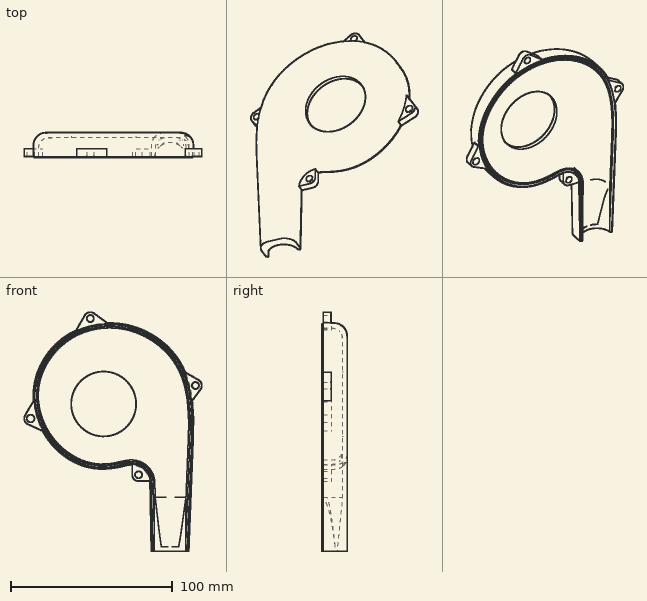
import cadquery as cq
import math


RIDGE_HEIGHT = 0.8
DEPTH = 15.8
FLOOR_THICKNESS = 3.0
FLOOR_Y = DEPTH - FLOOR_THICKNESS
OUTER_FILLET = 8.0
CAVITY_FILLET = 6.5
WALL = 3.1
BORE_DIAMETER = 40.0

RIDGE_BASE_OUTER = 0.5
RIDGE_TIP_OUTER = 0.8
RIDGE_TIP_INNER = 1.0
RIDGE_BASE_INNER = 2.1

SCROLL_STATIONS = [(30, 53.9), (75, 51.0), (120, 48.05), (165, 44.6), (215, 40.85), (262, 40.4)]

BEND_CENTER = (17.0, -49.3)
BEND_RADIUS = 11.6
BEND_START_ANGLE = 105.0

MOUTH_Z = -91.15
LEFT_WALL_DRAFT = 1.1
RIGHT_WALL_TOP = (55.5, -20.0)
RIGHT_WALL_DRAFT = 2.25

SOCKET_RADIUS = 9.75
RAMP_TOP_Z = -57.7
RAMP_END_Z = -88.3
RAMP_FLAT_HALF_WIDTH = 3.0
RAMP_END_HALF_WIDTH = 5.6
RAMP_END_FLOOR_Y = 9.65

TAB_THICKNESS = 5.0
TAB_RADIUS = 4.0
TAB_BASE_HALF_WIDTH = 9.5
TAB_BASE_DISTANCE = 4.6
TAB_ROOT_DEPTH = 1.5
SCREW_DIAMETER = 4.2
WIDE_SCREW_DIAMETER = 4.6
SCROLL_TABS = [
    (56.75, 11.4, 12.0, SCREW_DIAMETER),
    (-8.25, 52.85, 101.8, SCREW_DIAMETER),
    (-45.2, -9.0, 197.5, WIDE_SCREW_DIAMETER),
]
BEND_TAB = (21.6, -43.8)
BEND_TAB_REACH = 7.0

MOUTH_OVERRUN = 10.0


def polar(angle, radius):
    a = math.radians(angle)
    return (radius * math.cos(a), radius * math.sin(a))


def bend_point(angle, inset):
    x, z = polar(angle, BEND_RADIUS + inset)
    return (BEND_CENTER[0] + x, BEND_CENTER[1] + z)


def left_wall_x(z, inset):
    x, top_z = bend_point(LEFT_WALL_DRAFT, inset)
    return x + (top_z - z) * math.tan(math.radians(LEFT_WALL_DRAFT))


def right_wall_x(z, inset):
    x, top_z = RIGHT_WALL_TOP
    return x - inset - (top_z - z) * math.tan(math.radians(RIGHT_WALL_DRAFT))


def outline(y, inset):
    """Housing outline at depth y, moved in by inset and running on past the mouth."""
    end_z = MOUTH_Z - MOUTH_OVERRUN
    right_top = (RIGHT_WALL_TOP[0] - inset, RIGHT_WALL_TOP[1])
    scroll = [polar(angle, radius - inset) for angle, radius in SCROLL_STATIONS]
    bend_middle_angle = (BEND_START_ANGLE + LEFT_WALL_DRAFT) / 2
    right_wall_slope = polar(90 - RIGHT_WALL_DRAFT, 1)
    bend_slope = polar(BEND_START_ANGLE - 90, 1)
    return (
        cq.Workplane("XZ", origin=(0, y, 0))
        .moveTo(right_wall_x(end_z, inset), end_z)
        .lineTo(*right_top)
        .spline(
            scroll + [bend_point(BEND_START_ANGLE, inset)],
            tangents=[right_wall_slope, bend_slope],
            scale=False,
            includeCurrent=True,
        )
        .threePointArc(bend_point(bend_middle_angle, inset), bend_point(LEFT_WALL_DRAFT, inset))
        .lineTo(left_wall_x(end_z, inset), end_z)
        .close()
    )


def slab(y, depth, inset):
    return outline(y, inset).extrude(-depth)


def half_space_above(z):
    size = 4 * abs(MOUTH_Z)
    return cq.Workplane("XY", origin=(0, 0, z)).rect(size, size).extrude(size)


def make_body():
    body = slab(RIDGE_HEIGHT, DEPTH - RIDGE_HEIGHT, 0)
    body = body.faces(">Y").edges("not <Z").fillet(OUTER_FILLET)
    return body.intersect(half_space_above(MOUTH_Z))


def make_cavity():
    cavity = slab(0, FLOOR_Y, WALL)
    cavity = cavity.faces(">Y").edges("not <Z").fillet(CAVITY_FILLET)
    return cavity.intersect(half_space_above(RAMP_TOP_Z))


def tapered_slab(base_inset, tip_inset):
    """Slab over the ridge height, with its edge sloping from base_inset to tip_inset."""
    base = outline(RIDGE_HEIGHT, base_inset).val()
    tip = outline(0, tip_inset).val()
    return cq.Workplane(cq.Solid.makeLoft([base, tip], True))


def make_ridge():
    outer = tapered_slab(RIDGE_BASE_OUTER, RIDGE_TIP_OUTER)
    inner = tapered_slab(RIDGE_BASE_INNER, RIDGE_TIP_INNER)
    return outer.cut(inner).intersect(half_space_above(MOUTH_Z))


def ramp_section(center_x, z, half_width, floor_y):
    """Rounded channel section open towards -Y."""
    radius = half_width - RAMP_FLAT_HALF_WIDTH
    bulge = radius * math.sqrt(0.5)
    arc_x = RAMP_FLAT_HALF_WIDTH + bulge
    arc_y = floor_y - radius + bulge
    section = (
        cq.Workplane("XY", origin=(center_x, 0, z))
        .moveTo(-half_width, 0)
        .lineTo(-half_width, floor_y - radius)
        .threePointArc((-arc_x, arc_y), (-RAMP_FLAT_HALF_WIDTH, floor_y))
        .lineTo(RAMP_FLAT_HALF_WIDTH, floor_y)
        .threePointArc((arc_x, arc_y), (half_width, floor_y - radius))
        .lineTo(half_width, 0)
        .close()
    )
    return section.val()


def make_outlet_cut():
    left = left_wall_x(RAMP_TOP_Z, WALL)
    right = right_wall_x(RAMP_TOP_Z, WALL)
    top = ramp_section((left + right) / 2, RAMP_TOP_Z, (right - left) / 2, FLOOR_Y)
    socket_x = (left_wall_x(MOUTH_Z, 0) + right_wall_x(MOUTH_Z, 0)) / 2
    end = ramp_section(socket_x, RAMP_END_Z, RAMP_END_HALF_WIDTH, RAMP_END_FLOOR_Y)
    ramp = cq.Workplane(cq.Solid.makeLoft([top, end], True))
    socket = (
        cq.Workplane("XY", origin=(socket_x, 0, MOUTH_Z))
        .circle(SOCKET_RADIUS)
        .extrude(RAMP_TOP_Z - MOUTH_Z)
    )
    return ramp.union(socket)


def make_scroll_tab(x, z, direction):
    """Rounded tip with two straight flanks tangent to it, running to the base corners."""
    corner_distance = math.hypot(TAB_BASE_DISTANCE, TAB_BASE_HALF_WIDTH)
    corner_angle = 180 - math.degrees(math.atan2(TAB_BASE_HALF_WIDTH, TAB_BASE_DISTANCE))
    tangent_angle = corner_angle - math.degrees(math.acos(TAB_RADIUS / corner_distance))
    tangent = polar(tangent_angle, TAB_RADIUS)
    corner = (-TAB_BASE_DISTANCE, TAB_BASE_HALF_WIDTH)
    root_x = -TAB_BASE_DISTANCE - TAB_ROOT_DEPTH
    tab = (
        cq.Workplane("XZ")
        .moveTo(root_x, -corner[1])
        .lineTo(corner[0], -corner[1])
        .lineTo(tangent[0], -tangent[1])
        .threePointArc((TAB_RADIUS, 0), tangent)
        .lineTo(*corner)
        .lineTo(root_x, corner[1])
        .close()
        .extrude(-TAB_THICKNESS)
    )
    return tab.rotate((0, 0, 0), (0, 1, 0), -direction).translate((x, RIDGE_HEIGHT, z))


def make_bend_tab():
    """Tab in the corner of the bend, square to the duct with one rounded corner."""
    x, z = BEND_TAB
    reach = BEND_TAB_REACH
    bulge = TAB_RADIUS * math.sqrt(0.5)
    return (
        cq.Workplane("XZ", origin=(0, RIDGE_HEIGHT, 0))
        .moveTo(x - TAB_RADIUS, z + reach)
        .lineTo(x - TAB_RADIUS, z)
        .threePointArc((x - bulge, z - bulge), (x, z - TAB_RADIUS))
        .lineTo(x + reach, z - TAB_RADIUS)
        .lineTo(x + reach, z)
        .lineTo(x, z + reach)
        .close()
        .extrude(-TAB_THICKNESS)
    )


def make_hole(x, z, diameter):
    return cq.Workplane("XZ").center(x, z).circle(diameter / 2).extrude(-DEPTH)


housing = make_body()
for tab_x, tab_z, tab_direction, _ in SCROLL_TABS:
    housing = housing.union(make_scroll_tab(tab_x, tab_z, tab_direction))
housing = housing.union(make_bend_tab())
housing = housing.union(make_ridge())

housing = housing.cut(make_cavity())
housing = housing.cut(make_outlet_cut())
housing = housing.cut(make_hole(0, 0, BORE_DIAMETER))
for hole_x, hole_z, _, hole_diameter in SCROLL_TABS:
    housing = housing.cut(make_hole(hole_x, hole_z, hole_diameter))
result = housing.cut(make_hole(*BEND_TAB, SCREW_DIAMETER))